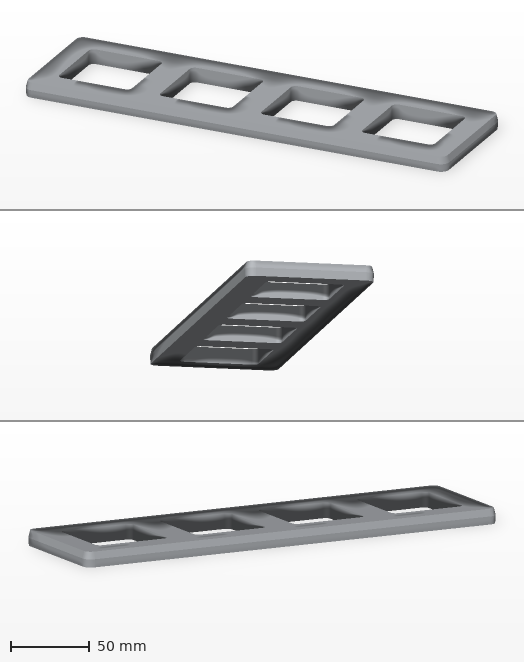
import cadquery as cq
import math

length = 297.0
width = 84.0
height = 10.0
corner_radius = 6.0
rim_height = 5.3
top_inset = 1.25
bottom_inset = 0.4

window_count = 4
window_pitch = 71.0
window_size = 51.0
window_radius = 3.5

cover_thickness = 1.5

skirt_height = height - rim_height
core_height = skirt_height - cover_thickness
skirt_slope = math.degrees(math.atan(top_inset / skirt_height))
base_slope = math.degrees(math.atan(bottom_inset / rim_height))


def rounded_block(size_x, size_y, radius, start, rise, slope=0.0):
    """Block with rounded corners, extruded from the start level, its sides leaning inward by the slope."""
    outline = cq.Sketch().rect(size_x, size_y).vertices().fillet(radius)
    return cq.Workplane("XY", origin=(0, 0, start)).placeSketch(outline).extrude(rise, taper=slope)


def cut_windows(body):
    """Cut the row of rounded square windows through the whole height."""
    window = rounded_block(window_size, window_size, window_radius, 0, height)
    for index in range(window_count):
        x = (index - (window_count - 1) / 2) * window_pitch
        body = body.cut(window.translate((x, 0, 0)))
    return body


def core_block():
    """Raised middle of the base, parallel to the cover's sloping sides."""
    return rounded_block(
        length - 2 * cover_thickness,
        width - 2 * cover_thickness,
        corner_radius - cover_thickness,
        rim_height,
        core_height,
        skirt_slope,
    )


def make_base():
    """Lower frame with a raised core that fills the cover."""
    plate = rounded_block(length, width, corner_radius, rim_height, -rim_height, base_slope)
    return cut_windows(plate.union(core_block()))


def make_cover():
    """Thin shell with sloping skirts that sits over the core."""
    shell = rounded_block(length, width, corner_radius, rim_height, skirt_height, skirt_slope)
    return cut_windows(shell.cut(core_block()))


base = make_base()
cover = make_cover()

result = cq.Compound.makeCompound([base.solids().val(), cover.solids().val()])